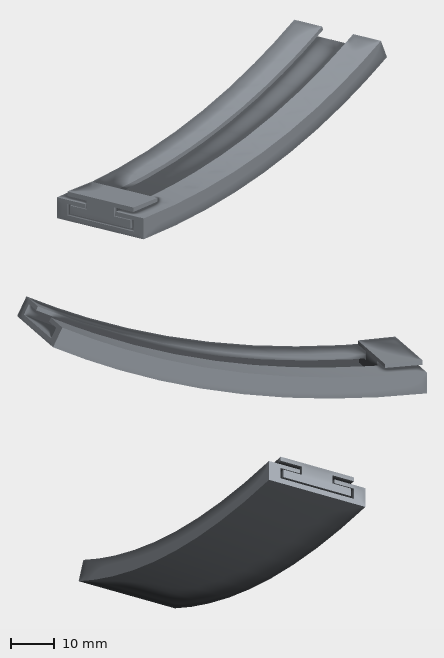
import cadquery as cq
import math

rail_width = 25.0
rail_thickness = 5.0
rail_reach = 89.95
overall_height = 24.73
end_slope = 26.5
end_rise = overall_height - rail_thickness * math.cos(math.radians(end_slope))

slot_floor = 1.3
slot_ceiling = 4.0
slot_width = 19.0
slot_mouth = 9.0

slider_length = 9.0
foot_width = 17.5
foot_bottom = 1.8
foot_top = 3.8
neck_width = 8.0
plate_width = slot_width
plate_bottom = 5.93
plate_top = 7.0

overcut = 1.0


def outer_curve():
    """Lower edge of the rail in the YZ plane, with its slope set at both ends."""
    end_direction = (math.cos(math.radians(end_slope)), math.sin(math.radians(end_slope)))
    return cq.Workplane("YZ").spline(
        [(0, 0), (rail_reach, end_rise)], tangents=[(1, 0), end_direction]
    )


def swept_bar(width, bottom, top):
    """Bar of rectangular section, between two heights above the outer face, following the curve."""
    return (
        cq.Workplane("XZ")
        .center(0, (bottom + top) / 2)
        .rect(width, top - bottom)
        .sweep(outer_curve())
    )


def make_rail():
    blank = swept_bar(rail_width, 0, rail_thickness)
    slot = swept_bar(slot_width, slot_floor, slot_ceiling)
    mouth = swept_bar(slot_mouth, slot_ceiling, rail_thickness + overcut)
    return blank.cut(slot).cut(mouth)


def make_slider():
    foot = swept_bar(foot_width, foot_bottom, foot_top)
    neck = swept_bar(neck_width, foot_top, plate_bottom)
    plate = swept_bar(plate_width, plate_bottom, plate_top)
    envelope = cq.Workplane("XY").box(
        rail_width, slider_length, plate_top, centered=(True, False, False)
    )
    return foot.union(neck).union(plate).intersect(envelope)


rail = make_rail()
slider = make_slider()

result = cq.Compound.makeCompound([rail.solids().val(), slider.solids().val()])